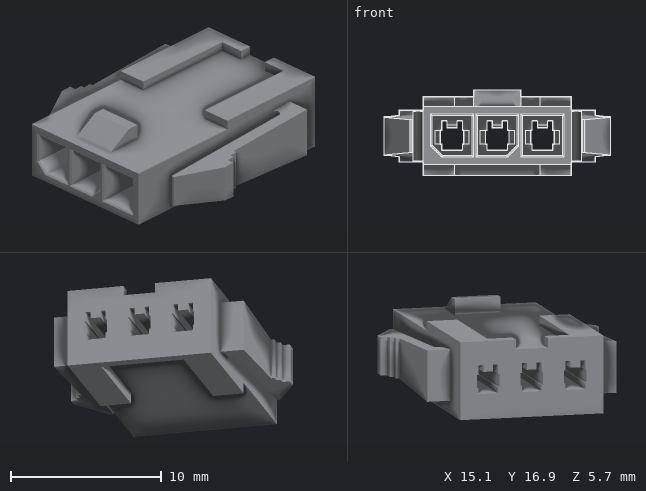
import cadquery as cq


length = 16.9
body_width = 9.85
body_bottom = 0.73
body_top = 4.6

rail_top = 5.25
rail_front = 8.5
rail_gap = 5.65
lip_thickness = 0.86
lip_gap = 2.2

ramp_width = 3.15
ramp_top = 5.7
ramp_front = 0.8
ramp_crest_front = 2.56
ramp_back = 3.36
ramp_root_radius = 0.2

pitch = 3.0
cavity_size = 2.85
cavity_bottom = 1.23
cavity_depth = 8.5
lead_in = 0.1
key_cut = 0.75

passage_width = 1.36
passage_bottom = 1.7
passage_top = 3.64
slot_bottom = 2.1
slot_top = 3.0
slot_width = 1.54
pocket_width = 2.28
pocket_depth = 2.0
lance_width = 0.68
lance_tip = 3.18
lance_step = 3.35
lance_step_depth = 1.0

overall_width = 15.05
arm_inner = 5.6
arm_outer = 6.52
arm_back = 14.45
relief_end = 13.04
step_one_x = 6.75
step_one_y = 7.45
step_two_x = 7.03
step_two_y = 6.9
hook_back = 6.37
hook_front = 5.57
hook_point = 2.07
tip_radius = 0.12
arm_root_height = 3.46
arm_tip_height = 2.18
arm_tip_front = 2.44
arm_mid_z = rail_top / 2


def box(x_mid, width, y_start, y_end, z_start, z_end):
    """Box centred on x_mid, spanning the given Y and Z ranges."""
    block = cq.Workplane("XY").box(width, y_end - y_start, z_end - z_start, centered=(True, False, False))
    return block.translate((x_mid, y_start, z_start))


def make_body():
    """Plain body with a rear block, hollowed between the rails on top and bottom."""
    body = box(0, body_width, 0, length, body_bottom, body_top)
    body = body.union(box(0, body_width, rail_front, length, 0, rail_top))
    lip_front = length - lip_thickness
    for z_start, z_end in ((0, body_bottom), (body_top, rail_top)):
        body = body.cut(box(0, rail_gap, rail_front, lip_front, z_start, z_end))
    return body.cut(box(0, lip_gap, lip_front, length, body_top, rail_top))


def make_ramp():
    """Wedge rising from the mating face, with a filleted root at its steep back."""
    profile = (
        cq.Workplane("YZ")
        .moveTo(ramp_front, body_top)
        .lineTo(ramp_crest_front, ramp_top)
        .lineTo(ramp_back, ramp_top)
        .lineTo(ramp_back, body_top + ramp_root_radius)
        .radiusArc((ramp_back + ramp_root_radius, body_top), -ramp_root_radius)
        .close()
    )
    return profile.extrude(ramp_width / 2, both=True)


def make_cavity(x_mid, keyed_side):
    """Square cavity with a lead-in; keyed_side -1 or 1 fills that lower corner, 0 none."""
    cavity = box(x_mid, cavity_size, 0, cavity_depth, cavity_bottom, cavity_bottom + cavity_size)
    if keyed_side:
        side = "<X" if keyed_side < 0 else ">X"
        cavity = cavity.faces(side).edges("<Z").chamfer(key_cut)
    outline = cavity.faces("<Y").wires().val()
    inner_outline = outline.offset2D(-lead_in)[0]
    shaft = cq.Workplane(cq.Solid.extrudeLinear(inner_outline, [], cq.Vector(0, cavity_depth, 0)))
    mouth = cq.Workplane(cq.Solid.makeLoft([outline, inner_outline.translate(cq.Vector(0, lead_in, 0))], True))
    return shaft.union(mouth)


def make_passage(x_mid):
    """Opening from the cavity floor to the rear, notched by a stepped terminal lance."""
    passage = box(x_mid, passage_width, cavity_depth, length, passage_bottom, passage_top)
    passage = passage.union(box(x_mid, slot_width, cavity_depth, length, slot_bottom, slot_top))
    pocket_end = cavity_depth + pocket_depth
    passage = passage.union(box(x_mid, pocket_width, cavity_depth, pocket_end, slot_bottom, slot_top))
    step_end = cavity_depth + lance_step_depth
    passage = passage.cut(box(x_mid, lance_width, cavity_depth, step_end, lance_step, passage_top))
    return passage.cut(box(x_mid, lance_width, step_end, length, lance_tip, passage_top))


def make_arm():
    """Right-hand latch arm: stepped hook outline, tapering in height towards its tip."""
    wall = body_width / 2
    relief_radius = (arm_inner - wall) / 2
    relief_start = relief_end - relief_radius
    plan = (
        cq.Workplane("XY")
        .moveTo(wall, arm_back)
        .lineTo(arm_outer, arm_back)
        .lineTo(arm_outer, step_one_y)
        .lineTo(step_one_x, step_one_y)
        .lineTo(step_one_x, step_two_y)
        .lineTo(step_two_x, step_two_y)
        .lineTo(step_two_x, hook_back)
        .lineTo(overall_width / 2, hook_back)
        .lineTo(overall_width / 2, hook_front)
        .lineTo(arm_inner, hook_point)
        .lineTo(arm_inner, relief_start)
        .threePointArc((wall + relief_radius, relief_end), (wall, relief_start))
        .close()
    )
    arm = plan.extrude(rail_top).edges("|Z and <Y").fillet(tip_radius)
    taper = (
        cq.Workplane("YZ")
        .moveTo(arm_back, arm_mid_z - arm_root_height / 2)
        .lineTo(arm_back, arm_mid_z + arm_root_height / 2)
        .lineTo(arm_tip_front, arm_mid_z + arm_tip_height / 2)
        .lineTo(arm_tip_front, arm_mid_z - arm_tip_height / 2)
        .close()
        .extrude(overall_width)
    )
    return arm.intersect(taper)


result = make_body().union(make_ramp())
arm_right = make_arm()
result = result.union(arm_right).union(arm_right.mirror("YZ"))
for position, keyed_side in ((-1, -1), (0, 1), (1, 0)):
    cavity_x = position * pitch
    result = result.cut(make_cavity(cavity_x, keyed_side))
    result = result.cut(make_passage(cavity_x))